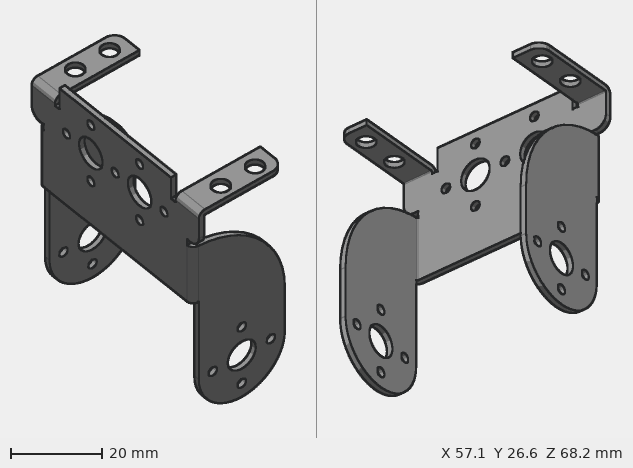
import cadquery as cq
import math

thickness = 1.6
bend_radius = 1.8
inner_bend_radius = bend_radius - thickness
height = 68.25

ear_half_width = 57.1 / 2
ear_inner_x = 20.6
ear_top = 64.4
ear_bottom = 53.7
corner_radius = 3.0
center_tab_half_width = 19.05
notch_floor = 62.05
plate_bottom = 35.3

leg_outer_x = 26.3
leg_back = 26.6
leg_shoulder = 52.0
leg_front = 1.9
leg_arc_radius = leg_back
leg_arc_center_z = leg_shoulder - leg_arc_radius
leg_width = leg_back - leg_front
leg_end_radius = leg_width / 2
plate_half_width = leg_outer_x - bend_radius

flange_length = 24.3
flange_hole_x = 24.85
flange_hole_ys = (9.4, 19.25)
flange_hole_diameter = 4.5

horn_hole_diameter = 8.0
screw_hole_diameter = 2.4
screw_offset = 8.3
plate_hole_z = 56.45
leg_hole_y = leg_front + leg_end_radius
leg_hole_z = leg_end_radius


def box(x0, x1, y0, y1, z0, z1):
    """Box between two opposite corners."""
    return cq.Workplane("XY").box(x1 - x0, y1 - y0, z1 - z0, centered=False).translate((x0, y0, z0))


def hole_pattern(plane, centers, length):
    """Cutters for a horn hole with four screw holes around each center."""
    screws = set()
    for u, v in centers:
        for du, dv in ((1, 0), (-1, 0), (0, 1), (0, -1)):
            screws.add((round(u + du * screw_offset, 3), round(v + dv * screw_offset, 3)))
    horns = cq.Workplane(plane).pushPoints(centers).circle(horn_hole_diameter / 2).extrude(length)
    small = cq.Workplane(plane).pushPoints(sorted(screws)).circle(screw_hole_diameter / 2).extrude(length)
    return horns.union(small)


def make_plate():
    """Flat front plate up to the start of the bends, with its rounded ears."""
    ears = box(-ear_half_width, ear_half_width, 0, thickness, ear_bottom, notch_floor)
    ears = ears.edges("|Y and <Z").fillet(corner_radius)
    center_tab = box(-center_tab_half_width, center_tab_half_width, 0, thickness, notch_floor, height)
    body = box(-plate_half_width, plate_half_width, 0, thickness, plate_bottom, ear_bottom)
    plate = ears.union(center_tab).union(body)
    centers = [(-screw_offset, plate_hole_z), (screw_offset, plate_hole_z)]
    return plate.cut(hole_pattern("XZ", centers, -thickness))


def make_flange():
    """Right-hand ear top, bent back into a horizontal flange with two holes."""
    flange = (
        cq.Workplane("YZ", origin=(ear_inner_x, 0, 0))
        .moveTo(0, notch_floor)
        .lineTo(0, ear_top - bend_radius)
        .radiusArc((bend_radius, ear_top), bend_radius)
        .lineTo(flange_length, ear_top)
        .lineTo(flange_length, ear_top - thickness)
        .lineTo(bend_radius, ear_top - thickness)
        .radiusArc((thickness, ear_top - bend_radius), -inner_bend_radius)
        .lineTo(thickness, notch_floor)
        .close()
        .extrude(ear_half_width - ear_inner_x)
    )
    flange = flange.edges("|Z and >Y and >X").fillet(corner_radius)
    hole_centers = [(flange_hole_x, y) for y in flange_hole_ys]
    holes = cq.Workplane("XY").pushPoints(hole_centers).circle(flange_hole_diameter / 2).extrude(height)
    return flange.cut(holes)


def make_leg():
    """Right-hand leg with its bend into the front plate and its horn hole pattern."""
    bend = (
        cq.Workplane("XY", origin=(0, 0, plate_bottom))
        .moveTo(plate_half_width, 0)
        .radiusArc((leg_outer_x, bend_radius), -bend_radius)
        .lineTo(leg_outer_x - thickness, bend_radius)
        .radiusArc((plate_half_width, thickness), inner_bend_radius)
        .close()
        .extrude(leg_shoulder - plate_bottom)
    )
    inner_plane = cq.Workplane("YZ", origin=(leg_outer_x - thickness, 0, 0))
    leg = (
        inner_plane.moveTo(leg_front, leg_end_radius)
        .lineTo(leg_front, plate_bottom)
        .lineTo(bend_radius, plate_bottom)
        .lineTo(bend_radius, leg_arc_center_z + math.sqrt(leg_arc_radius**2 - bend_radius**2))
        .radiusArc((leg_back, leg_arc_center_z), leg_arc_radius)
        .lineTo(leg_back, leg_end_radius)
        .radiusArc((leg_hole_y, 0), leg_end_radius)
        .radiusArc((leg_front, leg_end_radius), leg_end_radius)
        .close()
        .extrude(thickness)
    )
    holes = hole_pattern("YZ", [(leg_hole_y, leg_hole_z)], leg_outer_x)
    return leg.cut(holes).union(bend)


result = make_plate()
for side_part in (make_flange(), make_leg()):
    result = result.union(side_part).union(side_part.mirror("YZ"))